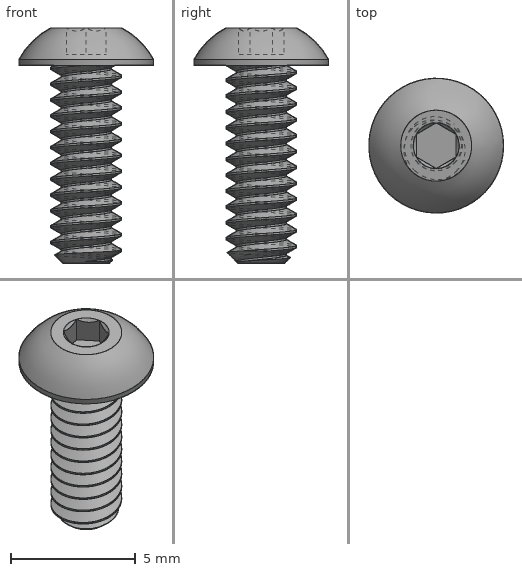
import cadquery as cq
import math

INCH = 25.4

major_radius = 0.112 * INCH / 2
pitch = INCH / 40
shank_length = 5 / 16 * INCH
flank_slope = math.tan(math.radians(30))
crest_width = pitch / 8
root_width = pitch / 8
thread_depth = (pitch - crest_width - root_width) / 2 / flank_slope
root_radius = major_radius - thread_depth
tip_chamfer = 0.49
root_start_height = 0.3125 * pitch
groove_overshoot = 0.05

head_radius = 0.213 * INCH / 2
head_height = 0.059 * INCH
rim_height = 0.23
crown_radius = major_radius

socket_across_flats = INCH / 16
socket_across_corners = socket_across_flats / math.cos(math.radians(30))
socket_depth = 1.06
countersink_slope = 1.0


def dome_radius_at(height, center_height, sphere_radius):
    """Radius of the dome at a height; its sphere is centred on the axis."""
    return math.sqrt(sphere_radius**2 - (height - center_height) ** 2)


def make_socket_cutter():
    """Hexagonal recess with two corners on the Y axis and a cone breaking its upper edges."""
    hexagon = (
        cq.Workplane("XY")
        .workplane(offset=head_height - socket_depth)
        .polygon(6, socket_across_corners)
        .extrude(socket_depth)
        .rotate((0, 0, 0), (0, 0, 1), 90)
    )
    cone_radius = socket_across_corners / 2
    cone_tip_height = head_height - cone_radius * countersink_slope
    cone = (
        cq.Workplane("XZ")
        .moveTo(0, cone_tip_height)
        .lineTo(cone_radius, head_height)
        .lineTo(0, head_height)
        .close()
        .revolve(360, (0, 0), (0, 1))
    )
    return hexagon.union(cone)


def make_head():
    """Domed head with a short cylindrical rim, a flat crown and the hexagonal socket."""
    sphere_center = (
        crown_radius**2 + head_height**2 - head_radius**2 - rim_height**2
    ) / (2 * (head_height - rim_height))
    sphere_radius = math.hypot(head_radius, rim_height - sphere_center)
    middle_height = (head_height + rim_height) / 2
    middle_radius = dome_radius_at(middle_height, sphere_center, sphere_radius)
    body = (
        cq.Workplane("XZ")
        .lineTo(head_radius, 0)
        .lineTo(head_radius, rim_height)
        .threePointArc((middle_radius, middle_height), (crown_radius, head_height))
        .lineTo(0, head_height)
        .close()
        .revolve(360, (0, 0), (0, 1))
    )
    return body.cut(make_socket_cutter())


def make_thread_groove():
    """Right-hand helical V groove with a flat root, running out past both ends of the shank."""
    start_height = -shank_length + root_start_height - 2 * pitch
    groove_length = shank_length + 3 * pitch
    outer_radius = major_radius + groove_overshoot
    root_half = root_width / 2
    outer_half = root_half + (outer_radius - root_radius) * flank_slope
    helix = cq.Wire.makeHelix(pitch, groove_length, root_radius, cq.Vector(0, 0, start_height))
    return (
        cq.Workplane("XZ")
        .moveTo(root_radius, start_height - root_half)
        .lineTo(outer_radius, start_height - outer_half)
        .lineTo(outer_radius, start_height + outer_half)
        .lineTo(root_radius, start_height + root_half)
        .close()
        .sweep(cq.Workplane(obj=helix), isFrenet=True)
    )


def make_shank():
    """Cylindrical shank threaded right up to the head, with a cone trimming the threads at the tip."""
    cylinder = cq.Workplane("XY").circle(major_radius).extrude(-shank_length)
    tip_envelope = cylinder.faces("<Z").chamfer(tip_chamfer)
    return cylinder.cut(make_thread_groove()).intersect(tip_envelope)


head = make_head()
shank = make_shank()

result = cq.Compound.makeCompound([head.val(), shank.val()])